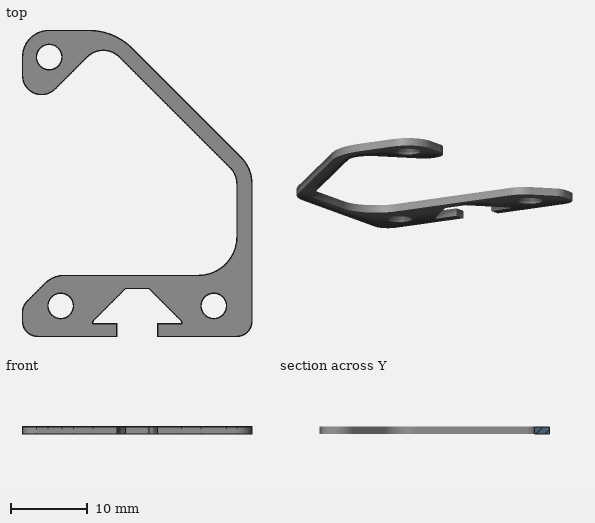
import cadquery as cq
import math

width = 30.0
height = 40.0
thickness = 1.0

hole_diameter = 3.3
hole_margin = 3.5
foot_hole_left = (5.0, 4.0)
foot_hole_right = (width - foot_hole_left[0], foot_hole_left[1])
tip_hole = (hole_margin, height - hole_margin)

foot_height = 8.0
foot_chamfer = 4.0
strip_width = 2.0
strip_bend_height = 22.0

foot_radius = 2.0
foot_shoulder_radius = 3.5
foot_inner_radius = 5.0
bend_inner_radius = 3.0
bend_outer_radius = bend_inner_radius + strip_width
crest_outer_radius = 8.0
crest_inner_radius = 3.0
tip_lobe_radius = 2.5

slot_center_x = width / 2
slot_mouth_width = 5.3
slot_lip_height = 1.7
slot_cavity_width = 11.6
slot_roof_width = 3.1
slot_roof_height = 6.25

outer_slope_sum = width + strip_bend_height
inner_slope_sum = outer_slope_sum - strip_width * math.sqrt(2)
tip_edge_difference = tip_hole[1] - tip_hole[0] - hole_margin * math.sqrt(2)

inner_x = width - strip_width
crest_inner_x = (inner_slope_sum - tip_edge_difference) / 2
crest_inner_y = (inner_slope_sum + tip_edge_difference) / 2

corners = [
    ((0, 0), foot_radius),
    ((width, 0), foot_radius),
    ((width, strip_bend_height), bend_outer_radius),
    ((outer_slope_sum - height, height), crest_outer_radius),
    ((0, height), hole_margin),
    ((0, tip_edge_difference), tip_lobe_radius),
    ((crest_inner_x, crest_inner_y), crest_inner_radius),
    ((inner_x, inner_slope_sum - inner_x), bend_inner_radius),
    ((inner_x, foot_height), foot_inner_radius),
    ((foot_chamfer, foot_height), foot_shoulder_radius),
    ((0, foot_height - foot_chamfer), foot_radius),
]


def make_plate():
    """Extrude the sharp outline, then round each of its corners."""
    plate = cq.Workplane("XY").polyline([point for point, _ in corners]).close().extrude(thickness)
    for (x, y), radius in corners:
        corner_edge = cq.selectors.NearestToPointSelector((x, y, thickness / 2))
        plate = plate.edges("|Z").edges(corner_edge).fillet(radius)
    return plate


def make_slot():
    """Solid of the slot: narrow mouth, wide cavity and a roof tapering at 45 degrees."""
    mouth = slot_mouth_width / 2
    cavity = slot_cavity_width / 2
    roof = slot_roof_width / 2
    taper_start = slot_roof_height - (cavity - roof)
    right_side = [
        (mouth, 0),
        (mouth, slot_lip_height),
        (cavity, slot_lip_height),
        (cavity, taper_start),
        (roof, slot_roof_height),
    ]
    left_side = [(-x, y) for x, y in reversed(right_side)]
    outline = cq.Workplane("XY").center(slot_center_x, 0).polyline(right_side + left_side)
    return outline.close().extrude(thickness)


def make_holes():
    """Solids of the three mounting holes."""
    centers = [foot_hole_left, foot_hole_right, tip_hole]
    return cq.Workplane("XY").pushPoints(centers).circle(hole_diameter / 2).extrude(thickness)


result = make_plate().cut(make_slot()).cut(make_holes())